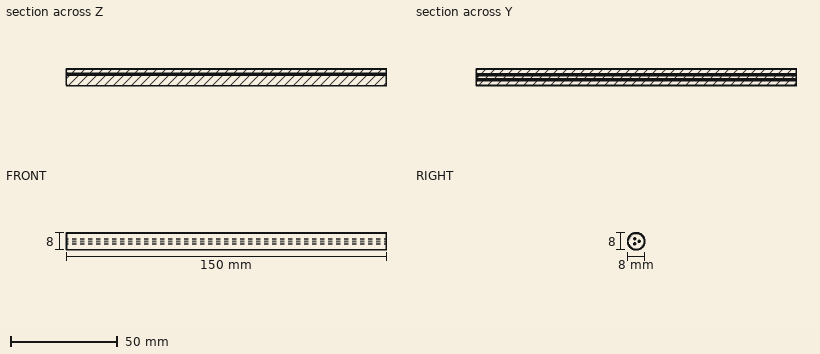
import cadquery as cq

ROD_LENGTH = 150.0
ROD_DIAMETER = 8.0
END_CHAMFER = 0.4

CHANNEL_COUNT = 3
CHANNEL_DIAMETER = 0.6
CHANNEL_CIRCLE_DIAMETER = 2.75
FIRST_CHANNEL_ANGLE = 0.0
FULL_TURN = 360.0


def make_rod():
    """Round bar with its -X end edge chamfered."""
    rod = cq.Workplane("YZ").circle(ROD_DIAMETER / 2).extrude(ROD_LENGTH)
    return rod.faces("<X").chamfer(END_CHAMFER)


def make_channels():
    """Straight channels, evenly spaced around the axis, over the full length."""
    return (
        cq.Workplane("YZ")
        .polarArray(CHANNEL_CIRCLE_DIAMETER / 2, FIRST_CHANNEL_ANGLE, FULL_TURN, CHANNEL_COUNT)
        .circle(CHANNEL_DIAMETER / 2)
        .extrude(ROD_LENGTH)
    )


result = make_rod().cut(make_channels())